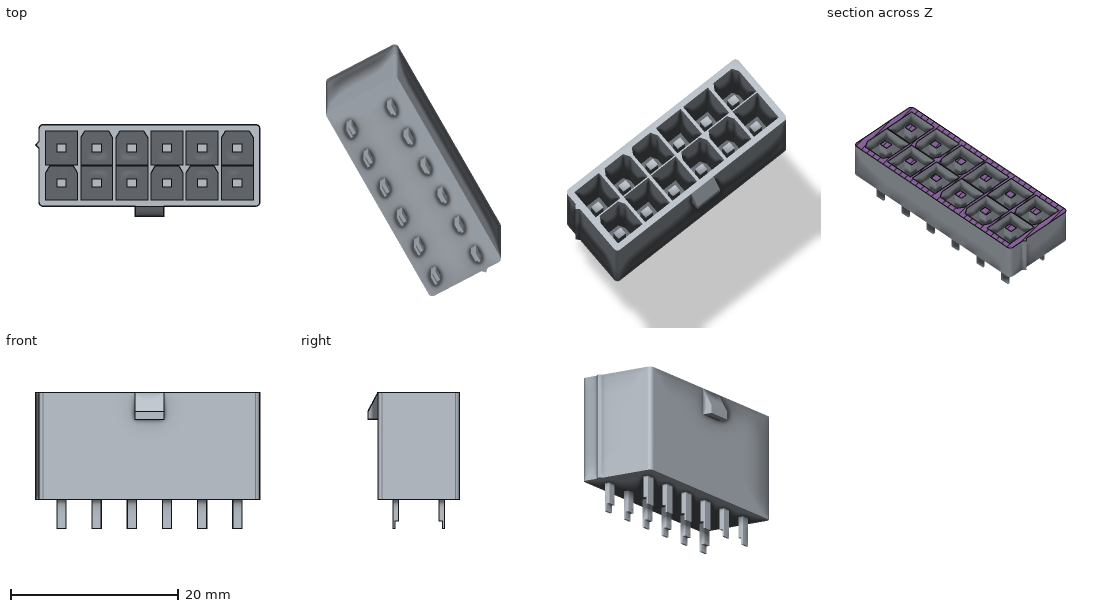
import cadquery as cq

RIB_HEIGHT = 0.4
BODY_LENGTH = 26.8 - RIB_HEIGHT
BODY_WIDTH = 9.75
BODY_HEIGHT = 12.8
CORNER_RADIUS = 0.5

KEYED_ROWS = {
    -1: (True, False, False, True, True, False),
    1: (False, True, True, False, False, True),
}
COLUMNS = 6
PITCH = 4.2

CAVITY_LENGTH = 3.8
CAVITY_WIDTH = 4.05
CAVITY_DEPTH = 10.0
KEY_CUT_X = 0.48
KEY_CUT_Y = 0.8
CAVITY_FLOOR = BODY_HEIGHT - CAVITY_DEPTH

CONTACT_LENGTH = 1.13
BLADE_WIDTH = 0.96
BLADE_TOP = 7.8
TAIL_DROP = 3.48
TAIL_INNER_Y = 2.4
TAIL_OUTER_Y = 3.08
TIP_WIDTH = 0.27
TIP_HEIGHT = 0.9

LATCH_LENGTH = 3.43
LATCH_REACH = 1.2
LATCH_HEIGHT = 3.25
LATCH_RAMP_HEIGHT = 2.28

RIB_BACK_Y = 2.87
RIB_PEAK_Y = 2.45
RIB_FRONT_Y = 2.06


def column_x(column):
    return (column - (COLUMNS - 1) / 2) * PITCH


def make_body():
    return (
        cq.Workplane("XY")
        .box(BODY_LENGTH, BODY_WIDTH, BODY_HEIGHT, centered=(True, True, False))
        .edges("|Z")
        .fillet(CORNER_RADIUS)
    )


def make_rib():
    face_x = -BODY_LENGTH / 2
    return (
        cq.Workplane("XY")
        .moveTo(face_x, RIB_BACK_Y)
        .lineTo(face_x - RIB_HEIGHT, RIB_PEAK_Y)
        .lineTo(face_x, RIB_FRONT_Y)
        .close()
        .extrude(BODY_HEIGHT)
    )


def make_latch():
    face_y = -BODY_WIDTH / 2
    tip_y = face_y - LATCH_REACH
    latch_bottom = BODY_HEIGHT - LATCH_HEIGHT
    return (
        cq.Workplane("YZ")
        .moveTo(face_y, BODY_HEIGHT)
        .lineTo(tip_y, BODY_HEIGHT - LATCH_RAMP_HEIGHT)
        .lineTo(tip_y, latch_bottom)
        .lineTo(face_y, latch_bottom)
        .close()
        .extrude(LATCH_LENGTH / 2, both=True)
    )


def make_cavity(column, side, keyed):
    half_length = CAVITY_LENGTH / 2
    half_width = CAVITY_WIDTH / 2
    outline = cq.Workplane("XY", origin=(column_x(column), side * PITCH / 2, CAVITY_FLOOR))
    if not keyed:
        return outline.rect(CAVITY_LENGTH, CAVITY_WIDTH).extrude(CAVITY_DEPTH)
    return (
        outline.moveTo(-half_length, -half_width)
        .lineTo(half_length, -half_width)
        .lineTo(half_length, half_width - KEY_CUT_Y)
        .lineTo(half_length - KEY_CUT_X, half_width)
        .lineTo(-half_length + KEY_CUT_X, half_width)
        .lineTo(-half_length, half_width - KEY_CUT_Y)
        .close()
        .extrude(CAVITY_DEPTH)
    )


def make_blade(column, side):
    return (
        cq.Workplane("XY", origin=(column_x(column), side * PITCH / 2, 0))
        .rect(CONTACT_LENGTH, BLADE_WIDTH)
        .extrude(BLADE_TOP)
    )


def make_tail(column, side):
    """Stepped tail: full width under the body, thin tip along its outer face."""
    shoulder_z = TIP_HEIGHT - TAIL_DROP
    tip_inner_y = TAIL_OUTER_Y - TIP_WIDTH
    return (
        cq.Workplane("YZ", origin=(column_x(column), 0, 0))
        .moveTo(side * TAIL_INNER_Y, CAVITY_FLOOR)
        .lineTo(side * TAIL_OUTER_Y, CAVITY_FLOOR)
        .lineTo(side * TAIL_OUTER_Y, -TAIL_DROP)
        .lineTo(side * tip_inner_y, -TAIL_DROP)
        .lineTo(side * tip_inner_y, shoulder_z)
        .lineTo(side * TAIL_INNER_Y, shoulder_z)
        .close()
        .extrude(CONTACT_LENGTH / 2, both=True)
    )


result = make_body().union(make_rib()).union(make_latch())
for side, keyed_columns in KEYED_ROWS.items():
    for column, keyed in enumerate(keyed_columns):
        result = result.cut(make_cavity(column, side, keyed))
        result = result.union(make_blade(column, side))
        result = result.union(make_tail(column, side))